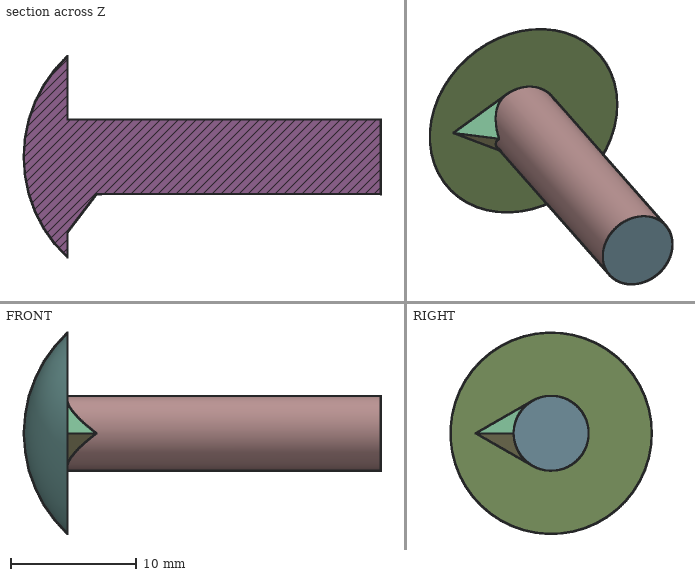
import cadquery as cq
import math

total_length = 28.48
head_diameter = 16.05
head_height = 3.5
shank_diameter = 5.98

nib_reach = 6.0
nib_length = 2.3

head_radius = head_diameter / 2
shank_radius = shank_diameter / 2
dome_radius = (head_radius**2 + head_height**2) / (2 * head_height)


def make_head():
    """Spherical cap with a flat underside in the plane x = head_height."""
    dome = cq.Workplane("XY").sphere(dome_radius).translate((dome_radius, 0, 0))
    cap_envelope = cq.Workplane("YZ").circle(head_radius).extrude(head_height)
    return dome.intersect(cap_envelope)


def make_shank():
    """Plain cylinder from the underside of the head to the free end."""
    underside = cq.Workplane("YZ", origin=(head_height, 0, 0))
    return underside.circle(shank_radius).extrude(total_length - head_height)


def triangle(*corners):
    """Planar triangular face through three points."""
    return cq.Face.makeFromWires(cq.Wire.makePolygon(corners, close=True))


def make_nib():
    """Tetrahedron whose sharp ridge slopes from the head into the shank."""
    tangent_angle = math.acos(shank_radius / nib_reach)
    tangent_y = -shank_radius * math.cos(tangent_angle)
    tangent_z = shank_radius * math.sin(tangent_angle)

    ridge_run = nib_length * (nib_reach + tangent_y) / (nib_reach - shank_radius)

    tip = cq.Vector(head_height, -nib_reach, 0)
    upper = cq.Vector(head_height, tangent_y, tangent_z)
    lower = cq.Vector(head_height, tangent_y, -tangent_z)
    ridge_end = cq.Vector(head_height + ridge_run, tangent_y, 0)

    faces = [
        triangle(tip, upper, lower),
        triangle(tip, ridge_end, upper),
        triangle(tip, lower, ridge_end),
        triangle(upper, ridge_end, lower),
    ]
    return cq.Workplane(cq.Solid.makeSolid(cq.Shell.makeShell(faces)))


result = make_head().union(make_shank()).union(make_nib())